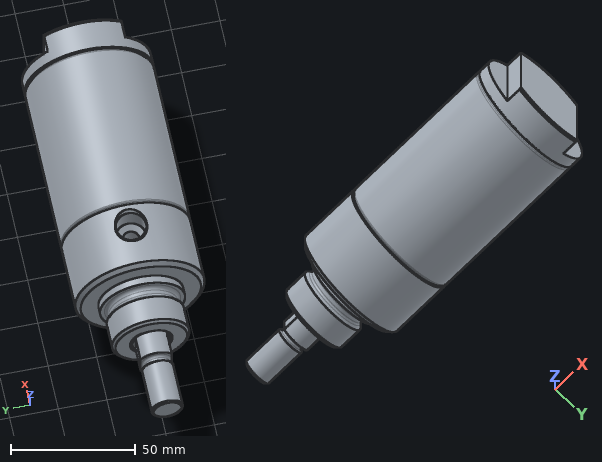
import cadquery as cq
import math

OVERALL_LENGTH = 166.7
BODY_RADIUS = 53.2 / 2

ROD_RADIUS = 15.8 / 2
THREAD_RADIUS = 12.8 / 2
THREAD_LENGTH = 19.3
THREAD_CHAMFER = 0.7
RELIEF_RADIUS = 10.8 / 2
RELIEF_SMALL_FILLET = 0.7
RELIEF_LARGE_FILLET = 1.0
SHOULDER_X = 22.2
WRENCH_FLAT_WIDTH = 12.8

NOSE_X = 31.8
NOSE_RADIUS = 31.8 / 2
NOSE_CHAMFER = 1.2
NOSE_BACK_X = 43.5
NECK_RADIUS = 14.2
NECK_FILLET = 1.5
FLANGE_X = 49.0
FLANGE_RADIUS = 35.0 / 2
FRONT_BODY_X = 52.3
FRONT_CHAMFER = 1.8
BORE_CHAMFER = 0.8

PORT_X = 71.5
PORT_RADIUS = 12.3 / 2
PORT_COUNTERSINK = 1.2
PORT_DEPTH = 10.0
PORT_TIP_ANGLE = 118.0
PASSAGE_RADIUS = 6.7 / 2

TUBE_START_X = 81.0
TUBE_END_X = 153.7
TUBE_CHAMFER = 1.0
TUBE_EDGE_RADIUS = 0.8

TONGUE_X = 158.8
TONGUE_WIDTH = 2 * NOSE_RADIUS
REAR_CHAMFER_LENGTH = 0.8
REAR_CHAMFER_DEPTH = 0.5


def revolve_about_x(profile):
    """Turn a half profile, drawn as (X, radius), around the X axis."""
    return profile.close().revolve(360, (0, 0, 0), (1, 0, 0))


def make_rod():
    profile = (
        cq.Workplane("XZ")
        .moveTo(0, 0)
        .lineTo(0, THREAD_RADIUS - THREAD_CHAMFER)
        .lineTo(THREAD_CHAMFER, THREAD_RADIUS)
        .lineTo(THREAD_LENGTH, THREAD_RADIUS)
        .lineTo(THREAD_LENGTH, RELIEF_RADIUS + RELIEF_SMALL_FILLET)
        .tangentArcPoint((RELIEF_SMALL_FILLET, -RELIEF_SMALL_FILLET))
        .lineTo(SHOULDER_X - RELIEF_LARGE_FILLET, RELIEF_RADIUS)
        .tangentArcPoint((RELIEF_LARGE_FILLET, RELIEF_LARGE_FILLET))
        .lineTo(SHOULDER_X, ROD_RADIUS)
        .lineTo(TUBE_START_X, ROD_RADIUS)
        .lineTo(TUBE_START_X, 0)
    )
    rod = revolve_about_x(profile)

    flat_length = NOSE_X - SHOULDER_X
    flat_depth = ROD_RADIUS - WRENCH_FLAT_WIDTH / 2
    for side in (-1, 1):
        cutter = cq.Workplane("XY").box(flat_length, flat_depth, 2 * ROD_RADIUS).translate(
            (SHOULDER_X + flat_length / 2, side * (WRENCH_FLAT_WIDTH + flat_depth) / 2, 0)
        )
        rod = rod.cut(cutter)
    return rod


def make_port_cutter():
    """Countersunk port with a drill-point bottom and a passage down to the rod."""
    mouth_radius = PORT_RADIUS + PORT_COUNTERSINK
    floor_z = BODY_RADIUS - PORT_DEPTH
    tip_height = (PORT_RADIUS - PASSAGE_RADIUS) / math.tan(math.radians(PORT_TIP_ANGLE / 2))
    return (
        cq.Workplane("XZ")
        .moveTo(0, 0)
        .lineTo(PASSAGE_RADIUS, 0)
        .lineTo(PASSAGE_RADIUS, floor_z - tip_height)
        .lineTo(PORT_RADIUS, floor_z)
        .lineTo(PORT_RADIUS, BODY_RADIUS - PORT_COUNTERSINK)
        .lineTo(mouth_radius, BODY_RADIUS)
        .lineTo(0, BODY_RADIUS)
        .close()
        .revolve(360, (0, 0, 0), (0, 1, 0))
        .translate((PORT_X, 0, 0))
    )


def make_front_cap():
    blend_length = NECK_FILLET * math.sin(math.pi / 4)
    blend_drop = NECK_FILLET * (1 - math.cos(math.pi / 4))
    cone_drop = NOSE_RADIUS - NECK_RADIUS - blend_drop

    profile = (
        cq.Workplane("XZ")
        .moveTo(NOSE_X, 0)
        .lineTo(NOSE_X, NOSE_RADIUS - NOSE_CHAMFER)
        .lineTo(NOSE_X + NOSE_CHAMFER, NOSE_RADIUS)
        .lineTo(NOSE_BACK_X, NOSE_RADIUS)
        .line(cone_drop, -cone_drop)
        .tangentArcPoint((blend_length, -blend_drop))
        .lineTo(FLANGE_X - NECK_FILLET, NECK_RADIUS)
        .tangentArcPoint((NECK_FILLET, NECK_FILLET))
        .lineTo(FLANGE_X, FLANGE_RADIUS)
        .lineTo(FRONT_BODY_X, FLANGE_RADIUS)
        .lineTo(FRONT_BODY_X, BODY_RADIUS - FRONT_CHAMFER)
        .lineTo(FRONT_BODY_X + FRONT_CHAMFER, BODY_RADIUS)
        .lineTo(TUBE_START_X, BODY_RADIUS)
        .lineTo(TUBE_START_X, 0)
    )
    rod_bore = revolve_about_x(
        cq.Workplane("XZ")
        .moveTo(NOSE_X, 0)
        .lineTo(NOSE_X, ROD_RADIUS + BORE_CHAMFER)
        .lineTo(NOSE_X + BORE_CHAMFER, ROD_RADIUS)
        .lineTo(TUBE_START_X, ROD_RADIUS)
        .lineTo(TUBE_START_X, 0)
    )
    return revolve_about_x(profile).cut(make_port_cutter()).cut(rod_bore)


def make_tube():
    edge_length = TUBE_EDGE_RADIUS * math.sin(math.pi / 4)
    edge_drop = TUBE_EDGE_RADIUS * (1 - math.cos(math.pi / 4))
    end_radius = BODY_RADIUS - edge_drop - TUBE_CHAMFER
    return revolve_about_x(
        cq.Workplane("XZ")
        .moveTo(TUBE_START_X, 0)
        .lineTo(TUBE_START_X, end_radius)
        .line(TUBE_CHAMFER, TUBE_CHAMFER)
        .tangentArcPoint((edge_length, edge_drop))
        .lineTo(TUBE_END_X - TUBE_CHAMFER - edge_length, BODY_RADIUS)
        .tangentArcPoint((edge_length, -edge_drop))
        .lineTo(TUBE_END_X, end_radius)
        .lineTo(TUBE_END_X, 0)
    )


def make_rear_cap():
    cap = revolve_about_x(
        cq.Workplane("XZ")
        .moveTo(TUBE_END_X, 0)
        .lineTo(TUBE_END_X, BODY_RADIUS)
        .lineTo(OVERALL_LENGTH - REAR_CHAMFER_LENGTH, BODY_RADIUS)
        .lineTo(OVERALL_LENGTH, BODY_RADIUS - REAR_CHAMFER_DEPTH)
        .lineTo(OVERALL_LENGTH, 0)
    )

    tongue_length = OVERALL_LENGTH - TONGUE_X
    side_depth = BODY_RADIUS - TONGUE_WIDTH / 2
    for side in (-1, 1):
        cutter = cq.Workplane("XY").box(tongue_length, side_depth, 2 * BODY_RADIUS).translate(
            (TONGUE_X + tongue_length / 2, side * (TONGUE_WIDTH + side_depth) / 2, 0)
        )
        cap = cap.cut(cutter)
    return cap


rod = make_rod()
front_cap = make_front_cap()
tube = make_tube()
rear_cap = make_rear_cap()

result = cq.Compound.makeCompound([rod.val(), front_cap.val(), tube.val(), rear_cap.val()])